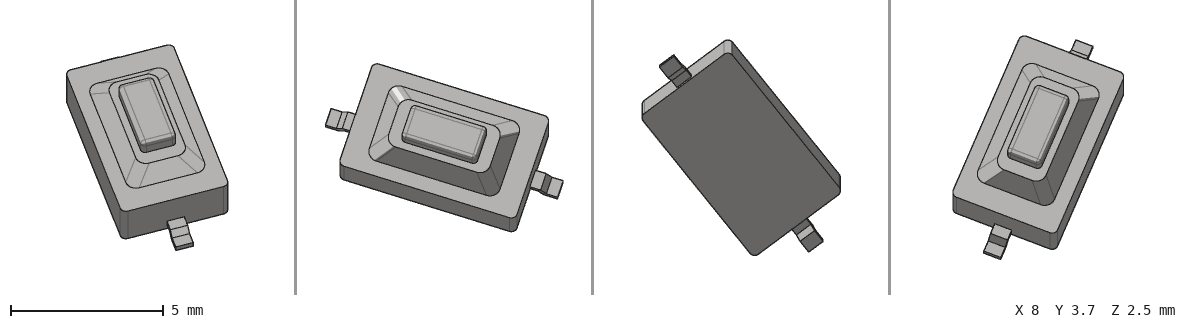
import cadquery as cq
import math

overall_length = 8.0
body_length = 6.1
body_width = 3.7
body_height = 1.5
body_corner_radius = 0.2

collar_length = 4.5
collar_width = 2.7
collar_height = 0.5
collar_inset = 0.5
collar_corner_radius = 0.35

button_length = 2.6
button_width = 1.2
button_height = 0.5
button_edge_radius = 0.15

lead_width = 0.6
lead_thickness = 0.2
lead_rise = 0.2
lead_foot_length = 0.38
lead_embed = 0.08


def rounded_rectangle(length, width, radius):
    return cq.Sketch().rect(length, width).vertices().fillet(radius)


def make_body():
    block = cq.Workplane("XY").box(body_length, body_width, body_height, centered=(True, True, False))
    return block.edges("|Z").fillet(body_corner_radius)


def make_collar():
    base = rounded_rectangle(collar_length, collar_width, collar_corner_radius)
    top = rounded_rectangle(
        collar_length - 2 * collar_inset, collar_width - 2 * collar_inset, collar_corner_radius
    )
    top = top.moved(cq.Location(cq.Vector(0, 0, collar_height)))
    collar = cq.Workplane("XY").placeSketch(base, top).loft(ruled=True)
    return collar.translate((0, 0, body_height))


def make_button():
    block = cq.Workplane("XY").box(button_length, button_width, button_height, centered=(True, True, False))
    button = block.edges("|Z or >Z").fillet(button_edge_radius)
    return button.translate((0, 0, body_height + collar_height))


def make_left_lead():
    tip = -overall_length / 2
    inner_end = -body_length / 2 + lead_embed
    upper_bend = tip + lead_foot_length
    lower_bend = upper_bend + lead_thickness * math.tan(math.radians(22.5))
    profile = [
        (tip, 0),
        (lower_bend, 0),
        (lower_bend + lead_rise, lead_rise),
        (inner_end, lead_rise),
        (inner_end, lead_rise + lead_thickness),
        (upper_bend + lead_rise, lead_rise + lead_thickness),
        (upper_bend, lead_thickness),
        (tip, lead_thickness),
    ]
    return cq.Workplane("XZ").polyline(profile).close().extrude(lead_width / 2, both=True)


left_lead = make_left_lead()
right_lead = left_lead.mirror("YZ")

result = make_body().union(make_collar()).union(make_button()).union(left_lead).union(right_lead)